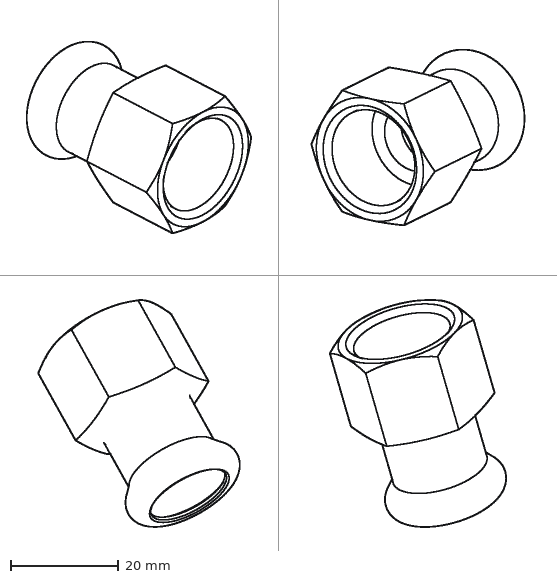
import cadquery as cq
import math

length = 36.5
hex_flats = 24.0
hex_corner_radius = hex_flats / math.sqrt(3)

bead_radius = 2.8
bead_center_radius = 8.8
bead_cone_angle = math.radians(38)

tube_radius = 18.2 / 2
hex_front_corner_x = 19.8
hex_front_angle = math.radians(15)
hex_back_angle = math.radians(30)
neck_fillet = 1.0

mouth_radius = 16.6 / 2
lip_radius = 15.8 / 2
lip_chamfer_length = 0.3
lip_length = 0.95
groove_radius = 1.3
blend_start_radius = 15.8 / 2
blend_end_x = 6.95
bore_radius = 15.2 / 2
bore_floor_x = 16.42
floor_fillet = 0.45
through_radius = 13.0 / 2

socket_radius = 18.6 / 2
socket_depth = 14.6
lead_in_radius = 21.0 / 2
lead_in_depth = lead_in_radius - socket_radius


def revolve_about_x(profile):
    return profile.close().revolve(360, (0, 0, 0), (1, 0, 0))


def bead_point(round_radius, angle):
    """Point on a round centred in the bead, at an angle past its crest."""
    x = bead_radius + round_radius * math.sin(angle)
    radius = bead_center_radius + round_radius * math.cos(angle)
    return x, radius


def make_tube():
    cone_start = bead_point(bead_radius, bead_cone_angle)
    cone_length = (cone_start[1] - tube_radius) / math.tan(bead_cone_angle)
    profile = (
        cq.Workplane("XY")
        .lineTo(0, bead_center_radius)
        .threePointArc(bead_point(bead_radius, -math.pi / 4), cone_start)
        .lineTo(cone_start[0] + cone_length, tube_radius)
        .lineTo(hex_front_corner_x, tube_radius)
        .lineTo(hex_front_corner_x, 0)
    )
    return revolve_about_x(profile)


def make_hexagon():
    """Hexagonal prism whose corners are turned off by a cone at each end."""
    prism = cq.Workplane("YZ").polygon(6, 2 * hex_corner_radius).extrude(length)
    front_axis_x = hex_front_corner_x - hex_corner_radius * math.tan(hex_front_angle)
    flat_radius = hex_flats / 2
    back_corner_x = length - (hex_corner_radius - flat_radius) * math.tan(hex_back_angle)
    envelope = (
        cq.Workplane("XY")
        .moveTo(front_axis_x, 0)
        .lineTo(hex_front_corner_x, hex_corner_radius)
        .lineTo(back_corner_x, hex_corner_radius)
        .lineTo(length, flat_radius)
        .lineTo(length, 0)
    )
    return prism.intersect(revolve_about_x(envelope))


def make_neck():
    """Ring filling the concave round between the tube and the hexagon."""
    corner_x = hex_front_corner_x - (hex_corner_radius - tube_radius) * math.tan(hex_front_angle)
    turn = math.pi / 2 - hex_front_angle
    tangent_length = neck_fillet * math.tan(turn / 2)
    start_x = corner_x - tangent_length
    center_radius = tube_radius + neck_fillet

    def round_point(angle):
        return start_x + neck_fillet * math.sin(angle), center_radius - neck_fillet * math.cos(angle)

    profile = (
        cq.Workplane("XY")
        .moveTo(start_x, 0)
        .lineTo(start_x, tube_radius)
        .threePointArc(round_point(turn / 2), round_point(turn))
        .lineTo(hex_front_corner_x, center_radius)
        .lineTo(hex_front_corner_x, 0)
    )
    return revolve_about_x(profile)


def make_cavity():
    arc_inset = floor_fillet * (1 - math.sqrt(0.5))
    groove_start = bead_point(groove_radius, -math.pi / 2)
    groove_end = bead_point(groove_radius, bead_cone_angle)
    blend_drop = blend_start_radius - bore_radius
    blend_start_x = blend_end_x - blend_drop / math.tan(bead_cone_angle / 2)
    socket_floor_x = length - socket_depth
    profile = (
        cq.Workplane("XY")
        .lineTo(0, mouth_radius)
        .lineTo(lip_chamfer_length, lip_radius)
        .lineTo(lip_length, lip_radius)
        .lineTo(*groove_start)
        .threePointArc(bead_point(groove_radius, 0), groove_end)
        .lineTo(blend_start_x, blend_start_radius)
        .tangentArcPoint((blend_end_x, bore_radius), relative=False)
        .lineTo(bore_floor_x - floor_fillet, bore_radius)
        .threePointArc(
            (bore_floor_x - arc_inset, bore_radius - arc_inset),
            (bore_floor_x, bore_radius - floor_fillet),
        )
        .lineTo(bore_floor_x, through_radius)
        .lineTo(socket_floor_x, through_radius)
        .lineTo(socket_floor_x, socket_radius)
        .lineTo(length - lead_in_depth, socket_radius)
        .lineTo(length, lead_in_radius)
        .lineTo(length, 0)
    )
    return revolve_about_x(profile)


result = make_tube().union(make_hexagon()).union(make_neck()).cut(make_cavity())